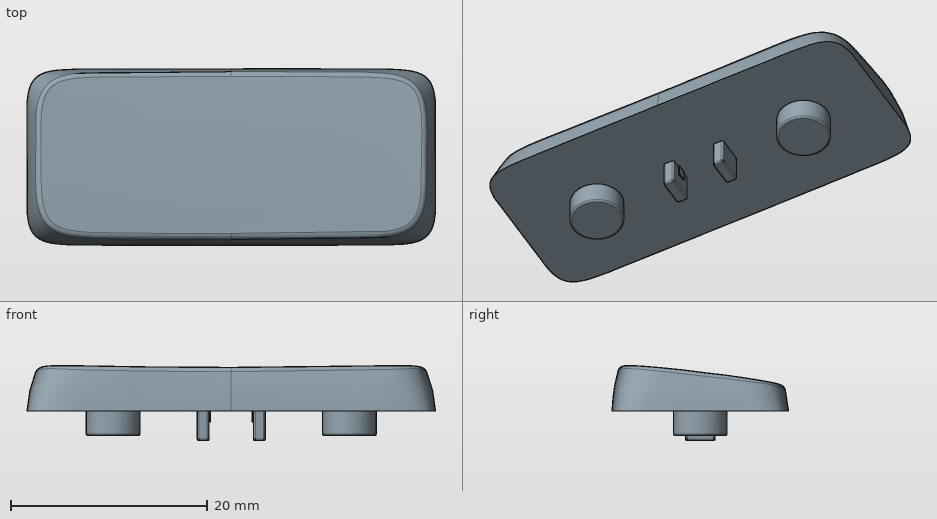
import cadquery as cq
import math

BASE_LENGTH = 41.8
BASE_WIDTH = 18.0
BASE_CORNER_INSET = 0.95

QUARTER_STEPS = 12

MIDDLE_HEIGHT = 2.0
MIDDLE_END_INSET = 0.38
MIDDLE_BACK_INSET = 0.2
MIDDLE_FRONT_INSET = 0.25
MIDDLE_CORNER_INSET = 1.15

TOP_FALL = 0.12
TOP_SLOPE = math.atan(TOP_FALL)
TOP_HEIGHT = 4.06
TOP_END_INSET = 1.1
TOP_BACK_INSET = 0.4
TOP_FRONT_INSET = 0.85
TOP_CORNER_INSET = 1.32
CROWN_RADIUS = 160.0
DISH_DEPTH = 0.33
TOP_EDGE_RADIUS = 0.6

POST_DIAMETER = 5.5
POST_SPACING = 24.08
POST_LENGTH = 2.5
POST_TIP_RADIUS = 0.2

PRONG_SPACING = 5.73
PRONG_THICKNESS = 1.2
PRONG_WIDTH = 3.0
PRONG_LENGTH = 3.0
PRONG_CORNER_RADIUS = 0.2
PRONG_TIP_RADIUS = 0.15
RIB_PROJECTION = 0.13
RIB_WIDTH = 1.0
RIB_LENGTH = 1.1


def rounded_outline(plane, length, back, front, corner_inset):
    """Smooth superellipse outline, in two halves that meet at X = 0.

    The curve |x/a|^p + |y/b|^q = 1 has its exponents chosen so that each corner
    is cut back by corner_inset, equally in X and Y.
    """
    half_length = length / 2
    half_width = (back - front) / 2
    middle = (back + front) / 2
    x_power = math.log(0.5) / math.log(1 - corner_inset / half_length)
    y_power = math.log(0.5) / math.log(1 - corner_inset / half_width)
    right_points = [(0, front)]
    for step in range(1 - QUARTER_STEPS, QUARTER_STEPS):
        angle = math.pi / 2 * math.sin(math.pi / 2 * step / QUARTER_STEPS)
        x = half_length * math.cos(angle) ** (2 / x_power)
        rise = half_width * abs(math.sin(angle)) ** (2 / y_power)
        right_points.append((x, middle + math.copysign(rise, step)))
    right_points.append((0, back))
    left_points = [(-x, y) for x, y in reversed(right_points)]
    return (
        cq.Workplane(plane)
        .spline(right_points, tangents=[(1, 0), (-1, 0)])
        .spline(left_points, tangents=[(-1, 0), (1, 0)])
        .close()
        .val()
    )


def sloped_plane(height, slope):
    """Plane through (0, 0, height) that falls toward +Y by the slope angle in radians."""
    return cq.Plane((0, 0, height), (1, 0, 0), (0, math.sin(slope), math.cos(slope)))


def make_dish(top_plane):
    """Ring that cuts the saddle-shaped top: hollow along X, crowned along the slope."""
    half_length = BASE_LENGTH / 2
    ring = (
        cq.Workplane(cq.Plane((0, 0, 0), (1, 0, 0), (0, -1, 0)))
        .moveTo(-half_length, CROWN_RADIUS)
        .threePointArc((0, CROWN_RADIUS - DISH_DEPTH), (half_length, CROWN_RADIUS))
        .lineTo(half_length, CROWN_RADIUS + BASE_WIDTH)
        .lineTo(-half_length, CROWN_RADIUS + BASE_WIDTH)
        .close()
        .revolve(360, (0, 0), (1, 0))
    )
    seam_below = ring.rotate((0, 0, 0), (1, 0, 0), 180)
    on_axis = seam_below.translate((0, 0, -CROWN_RADIUS))
    return on_axis.val().moved(cq.Location(top_plane))


def make_cap():
    """Cap body lofted from the base to the slope, then dished and rounded."""
    half_width = BASE_WIDTH / 2
    top_plane = sloped_plane(TOP_HEIGHT, TOP_SLOPE)
    base = rounded_outline(
        cq.Plane.XY(),
        BASE_LENGTH,
        half_width,
        -half_width,
        BASE_CORNER_INSET,
    )
    middle = rounded_outline(
        sloped_plane(MIDDLE_HEIGHT, TOP_SLOPE / 2),
        BASE_LENGTH - 2 * MIDDLE_END_INSET,
        half_width - MIDDLE_BACK_INSET,
        -half_width + MIDDLE_FRONT_INSET,
        MIDDLE_CORNER_INSET,
    )
    top = rounded_outline(
        top_plane,
        BASE_LENGTH - 2 * TOP_END_INSET,
        half_width - TOP_BACK_INSET,
        -half_width + TOP_FRONT_INSET,
        TOP_CORNER_INSET,
    )
    body = cq.Workplane(cq.Solid.makeLoft([base, middle, top]))
    body = body.cut(make_dish(top_plane))
    dished_face = body.faces(">Z")
    return dished_face.edges().fillet(TOP_EDGE_RADIUS)


def make_post(x):
    """Round post under the cap, centred at the given X."""
    return (
        cq.Workplane("XY")
        .center(x, 0)
        .circle(POST_DIAMETER / 2)
        .extrude(-POST_LENGTH)
        .faces("<Z")
        .edges()
        .fillet(POST_TIP_RADIUS)
    )


def make_prong(side):
    """Prong on the -X (side = -1) or +X (side = 1) half, ribbed on its inner face."""
    x = side * PRONG_SPACING / 2
    prong = (
        cq.Workplane("XY")
        .center(x, 0)
        .rect(PRONG_THICKNESS, PRONG_WIDTH)
        .extrude(-PRONG_LENGTH)
        .edges("|Z")
        .fillet(PRONG_CORNER_RADIUS)
        .faces("<Z")
        .edges()
        .fillet(PRONG_TIP_RADIUS)
    )
    rib_depth = PRONG_THICKNESS / 2 + RIB_PROJECTION
    rib = (
        cq.Workplane("XY")
        .center(x - side * rib_depth / 2, 0)
        .rect(rib_depth, RIB_WIDTH)
        .extrude(-RIB_LENGTH)
    )
    return prong.union(rib)


result = make_cap()
for side in (-1, 1):
    result = result.union(make_post(side * POST_SPACING / 2))
    result = result.union(make_prong(side))